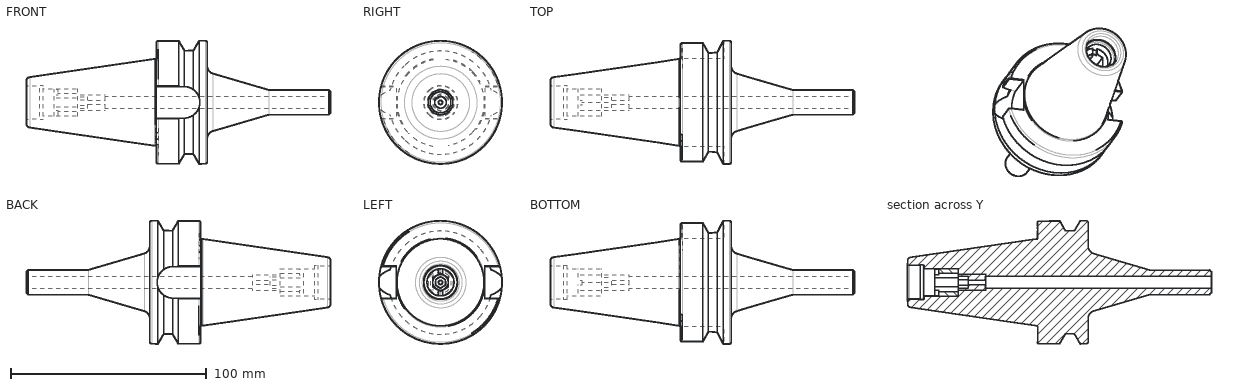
import cadquery as cq
import math

gauge_radius = 44.45 / 2
taper_length = 65.4
taper_ratio = 7 / 24
tail_radius = gauge_radius - taper_length * taper_ratio / 2
tail_end = -taper_length
tail_fillet = 2.0

flange_radius = 63 / 2
flange_start = 1.0
flange_end = 27.0
flange_fillet = 1.0
root_fillet = 0.5
groove_floor_radius = 53 / 2
groove_floor_start = 15.35
groove_floor_end = 19.9
groove_flank_angle = 30.0
groove_flank_length = (flange_radius - groove_floor_radius) * math.tan(math.radians(groove_flank_angle))

nose_end = 90.0
nose_radius = 12.7 / 2
nose_chamfer = 1.0
cone_end = 58.5
cone_start = 30.0
cone_start_radius = 14.7
nose_fillet_radius = 4.0

slot_width = 16.1
slot_floor = 22.5
slot_end = 23.2
slot_edge_chamfer = 0.4
selection_margin = 0.1

pilot_radius = 17 / 2
pilot_depth = 6.5
pilot_fillet = 1.0
relief_radius = 17.5 / 2
relief_depth = 8.5
relief_fillet = 0.5
thread_radius = 13.84 / 2
tool_bore_radius = 6 / 2

plug_start = tail_end + 14.0
plug_length = 12.0
plug_end = plug_start + plug_length
plug_hex = 8.0
plug_slot_width = 2.4
plug_slot_depth = 2.0
screw_radius = 8 / 2
screw_start = plug_end
screw_length = 14.0
screw_end = screw_start + screw_length
screw_hex = 5.0
screw_hex_depth = 5.0
coolant_radius = 2 / 2


def revolve_about_axis(profile):
    return profile.close().revolve(360, (0, 0, 0), (1, 0, 0))


def cylinder(start, end, radius):
    return cq.Workplane("YZ", origin=(start, 0, 0)).circle(radius).extrude(end - start)


def hex_prism(start, length, across_flats):
    """Hexagonal prism along X with two corners on the Z axis."""
    corner_diameter = across_flats / math.cos(math.radians(30))
    profile = cq.Workplane("YZ", origin=(start, 0, 0)).transformed(rotate=(0, 0, 90))
    return profile.polygon(6, corner_diameter).extrude(length)


def make_blank():
    """Solid of revolution: taper, grooved flange, and nose cone blended into the flange face."""
    cone_angle = math.atan2(cone_start_radius - nose_radius, cone_end - cone_start)
    blend_center_x = flange_end + nose_fillet_radius
    blend_end_x = blend_center_x - nose_fillet_radius * math.sin(cone_angle)
    blend_end_radius = nose_radius + (cone_end - blend_end_x) * math.tan(cone_angle)
    blend_center_radius = blend_end_radius + nose_fillet_radius * math.cos(cone_angle)
    blend_middle_angle = (math.pi + 3 * math.pi / 2 - cone_angle) / 2
    blend_middle = (
        blend_center_x + nose_fillet_radius * math.cos(blend_middle_angle),
        blend_center_radius + nose_fillet_radius * math.sin(blend_middle_angle),
    )
    profile = (
        cq.Workplane("XZ")
        .moveTo(tail_end, 0)
        .lineTo(tail_end, tail_radius)
        .lineTo(0, gauge_radius)
        .lineTo(flange_start - root_fillet, gauge_radius)
        .radiusArc((flange_start, gauge_radius + root_fillet), -root_fillet)
        .lineTo(flange_start, flange_radius - flange_fillet)
        .radiusArc((flange_start + flange_fillet, flange_radius), flange_fillet)
        .lineTo(groove_floor_start - groove_flank_length, flange_radius)
        .lineTo(groove_floor_start, groove_floor_radius)
        .lineTo(groove_floor_end, groove_floor_radius)
        .lineTo(groove_floor_end + groove_flank_length, flange_radius)
        .lineTo(flange_end - flange_fillet, flange_radius)
        .radiusArc((flange_end, flange_radius - flange_fillet), flange_fillet)
        .lineTo(flange_end, blend_center_radius)
        .threePointArc(blend_middle, (blend_end_x, blend_end_radius))
        .lineTo(cone_end, nose_radius)
        .lineTo(nose_end - nose_chamfer, nose_radius)
        .lineTo(nose_end, nose_radius - nose_chamfer)
        .lineTo(nose_end, 0)
    )
    return revolve_about_axis(profile).faces("<X").edges().fillet(tail_fillet)


def make_bores():
    """Stepped bore: rounded pilot, relief, plug seat, screw seat and tool bore."""
    pilot_end = tail_end + pilot_depth
    relief_end = tail_end + relief_depth
    profile = (
        cq.Workplane("XZ")
        .moveTo(tail_end, 0)
        .lineTo(tail_end, pilot_radius + pilot_fillet)
        .radiusArc((tail_end + pilot_fillet, pilot_radius), -pilot_fillet)
        .lineTo(pilot_end, pilot_radius)
        .lineTo(pilot_end, relief_radius)
        .lineTo(relief_end - relief_fillet, relief_radius)
        .radiusArc((relief_end, relief_radius - relief_fillet), relief_fillet)
        .lineTo(relief_end, thread_radius)
        .lineTo(plug_end, thread_radius)
        .lineTo(plug_end, screw_radius)
        .lineTo(screw_end, screw_radius)
        .lineTo(screw_end, tool_bore_radius)
        .lineTo(nose_end, tool_bore_radius)
        .lineTo(nose_end, 0)
    )
    return revolve_about_axis(profile)


def make_drive_slot(side):
    """Round-ended slot, outward from its flat floor on the given Y side."""
    half_width = slot_width / 2
    straight_end = slot_end - half_width
    return (
        cq.Workplane("XZ", origin=(0, side * slot_floor, 0))
        .moveTo(0, -half_width)
        .lineTo(straight_end, -half_width)
        .threePointArc((slot_end, 0), (straight_end, half_width))
        .lineTo(0, half_width)
        .close()
        .extrude(-side * flange_radius)
    )


def chamfer_slot_edge(body, side, wall):
    """Break the edge of one slot wall along the rear face and rim of the flange."""
    wall_height = slot_width / 2
    near = (
        flange_start - selection_margin,
        side * (slot_floor + 5 * selection_margin),
        wall * (wall_height - selection_margin),
    )
    far = (
        groove_floor_start - groove_flank_length,
        side * flange_radius,
        wall * (wall_height + selection_margin),
    )
    return body.edges(cq.selectors.BoxSelector(near, far)).chamfer(slot_edge_chamfer)


holder = make_blank().cut(make_bores())
for side in (1, -1):
    holder = holder.cut(make_drive_slot(side))
    for wall in (1, -1):
        holder = chamfer_slot_edge(holder, side, wall)

driver_slot = (
    cq.Workplane("XY")
    .box(2 * plug_slot_depth, plug_slot_width, 4 * thread_radius)
    .translate((plug_start, 0, 0))
)
plug = (
    cylinder(plug_start, plug_end, thread_radius)
    .cut(hex_prism(plug_start, plug_length, plug_hex))
    .cut(driver_slot)
)

screw = (
    cylinder(screw_start, screw_end, screw_radius)
    .cut(cylinder(screw_start, screw_end, coolant_radius))
    .cut(hex_prism(screw_start, screw_hex_depth, screw_hex))
)

result = cq.Compound.makeCompound([holder.val(), plug.val(), screw.val()])